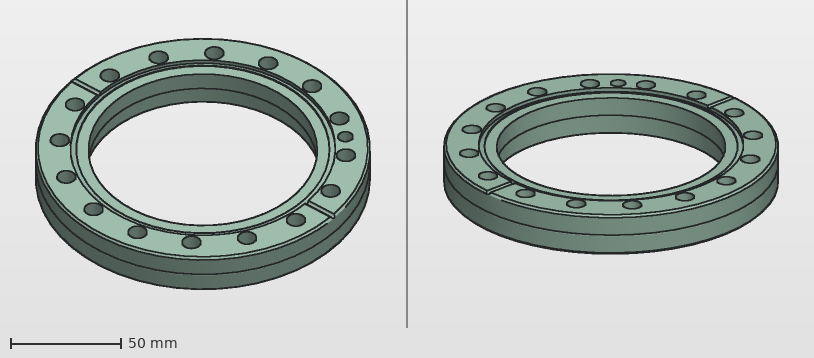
import cadquery as cq
import math

outer_radius = 76.0
bore_radius = 52.0
thickness = 19.8
rim_chamfer = 1.0

socket_radius = 54.0
socket_depth = thickness / 2

rim_groove_width = 1.2
rim_groove_depth = 0.2

recess_radius = 60.2
knife_radius = 57.6
knife_depth = 0.9
knife_angle = 20.0
knife_flank_width = 0.2
recess_floor_depth = 1.2

bolt_count = 16
bolt_pitch = 360.0 / bolt_count
bolt_circle_radius = 65.2
bolt_hole_diameter = 8.5
alignment_hole_diameter = 6.8
alignment_angle = 2.5 * bolt_pitch
leak_groove_angle = 0.5 * bolt_pitch
leak_groove_width = 2.5
leak_groove_depth = 1.0


def flange_body():
    """Revolve the chamfered ring with its grooved rim, sealing recess and tube socket."""
    slope_drop = (recess_radius - knife_radius) * math.tan(math.radians(knife_angle))
    knife_height = thickness - knife_depth
    floor_height = thickness - recess_floor_depth
    chamfered_radius = outer_radius - rim_chamfer
    middle_height = thickness / 2
    half_groove = rim_groove_width / 2
    profile = [
        (socket_radius, 0),
        (chamfered_radius, 0),
        (outer_radius, rim_chamfer),
        (outer_radius, middle_height - half_groove),
        (outer_radius - rim_groove_depth, middle_height),
        (outer_radius, middle_height + half_groove),
        (outer_radius, thickness - rim_chamfer),
        (chamfered_radius, thickness),
        (recess_radius, thickness),
        (recess_radius, knife_height - slope_drop),
        (knife_radius, knife_height),
        (knife_radius - knife_flank_width, floor_height),
        (bore_radius, floor_height),
        (bore_radius, socket_depth),
        (socket_radius, socket_depth),
    ]
    return cq.Workplane("XZ").polyline(profile).close().revolve(360, (0, 0), (0, 1))


def through_holes(diameter, angles):
    """Cutters for vertical holes at the given angles on the bolt circle."""
    centers = [
        (
            bolt_circle_radius * math.cos(math.radians(angle)),
            bolt_circle_radius * math.sin(math.radians(angle)),
        )
        for angle in angles
    ]
    return cq.Workplane("XY").pushPoints(centers).circle(diameter / 2).extrude(thickness)


def leak_groove(angle):
    """Round-bottomed radial cutter from the sealing recess to the rim."""
    half_width = leak_groove_width / 2
    radius = (half_width**2 + leak_groove_depth**2) / (2 * leak_groove_depth)
    axis_height = thickness - leak_groove_depth + radius
    start = (recess_radius + knife_radius) / 2
    return (
        cq.Workplane("YZ", origin=(start, 0, 0))
        .center(0, axis_height)
        .circle(radius)
        .extrude(outer_radius - start)
        .rotate((0, 0, 0), (0, 0, 1), angle)
    )


result = flange_body()
result = result.cut(through_holes(bolt_hole_diameter, [i * bolt_pitch for i in range(bolt_count)]))
result = result.cut(through_holes(alignment_hole_diameter, [alignment_angle]))
for side_angle in (0, 180):
    result = result.cut(leak_groove(leak_groove_angle + side_angle))